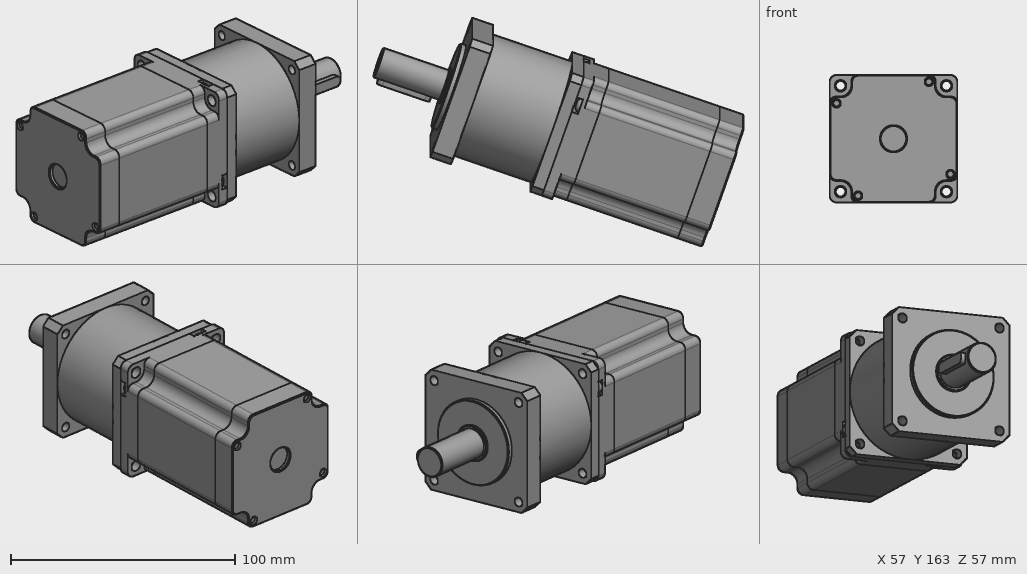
import cadquery as cq
import math


SIDE = 57.0
HALF = SIDE / 2
MOUNT_OFFSET = 23.6

LENGTH = 163.0
STATOR_BACK = 11.5
STATOR_FRONT = 64.0
MOTOR_FLANGE_BACK = 70.9
MOTOR_FRONT = 75.8
RING_BACK = 81.2
RING_FRONT = 118.7
OUTPUT_FLANGE_FRONT = 128.5
BOSS_FRONT = 131.0

FLANGE_CHAMFER = 3.3
BOSS_DIAMETER = 40.0
BOSS_CHAMFER = 0.5
GEARBOX_HOLE = 4.2

SHAFT_DIAMETER = 14.0
SHAFT_CHAMFER = 0.5
COLLAR_DIAMETER = 17.0
COLLAR_LENGTH = 1.0
COLLAR_CHAMFER = 0.5
KEY_WIDTH = 5.0
KEY_LENGTH = 25.1
KEY_TIP_GAP = 2.5
KEY_FLOOR = 4.0
KEY_TOP = 9.1

MOTOR_FLANGE_RADIUS = 3.3
MOTOR_HOLE = 5.2
NOTCH_WALL = 18.9
NOTCH_ROUND = 3.1
REAR_CHAMFER = 0.5
REAR_RECESS_DIAMETER = 11.2
REAR_RECESS_DEPTH = 2.0
REAR_RECESS_CHAMFER = 0.5

SCREW_X = NOTCH_WALL - NOTCH_ROUND
SCREW_Z = HALF - NOTCH_ROUND
SCREW_DIAMETER = 3.0
SCREW_CLEARANCE = 3.9
SCREW_TIP_DEPTH = 1.0
HEAD_DIAMETER = 6.0
HEAD_HEIGHT = 2.0
HEAD_ROUND = 1.8
HEAD_POCKET_WIDTH = 7.0
HEAD_POCKET_DEPTH = 3.0
HEAD_SEAT = MOTOR_FRONT - HEAD_POCKET_DEPTH

QUARTER_TURNS = (0, 90, 180, 270)


def plane_at(y):
    """Plane square to the shaft at the given Y, with its normal along +Y and local X along -X."""
    return cq.Workplane(cq.Plane(origin=(0, y, 0), xDir=(-1, 0, 0), normal=(0, 1, 0)))


def cylinder(diameter, y_start, y_end, x=0, z=0):
    return plane_at(y_start).center(-x, z).circle(diameter / 2).extrude(y_end - y_start)


def square_block(y_start, y_end):
    return plane_at(y_start).rect(SIDE, SIDE).extrude(y_end - y_start)


def turned(body, angle):
    return body.rotate((0, 0, 0), (0, 1, 0), angle)


def cut_around_axis(body, tool):
    """Cut the tool from the body at each quarter turn about the shaft axis."""
    for angle in QUARTER_TURNS:
        body = body.cut(turned(tool, angle))
    return body


def mounting_hole(diameter, y_start, y_end):
    return cylinder(diameter, y_start, y_end, x=MOUNT_OFFSET, z=MOUNT_OFFSET)


def make_gearbox():
    output_flange = square_block(RING_FRONT, OUTPUT_FLANGE_FRONT).edges("|Y").chamfer(FLANGE_CHAMFER)
    input_flange = square_block(MOTOR_FRONT, RING_BACK).edges("|Y").chamfer(FLANGE_CHAMFER)
    ring = cylinder(SIDE, RING_BACK, RING_FRONT)
    boss = cylinder(BOSS_DIAMETER, OUTPUT_FLANGE_FRONT, BOSS_FRONT).faces(">Y").chamfer(BOSS_CHAMFER)
    body = output_flange.union(ring).union(input_flange).union(boss)
    return cut_around_axis(body, mounting_hole(GEARBOX_HOLE, MOTOR_FRONT, OUTPUT_FLANGE_FRONT))


def make_key():
    key_center = LENGTH - KEY_TIP_GAP - KEY_LENGTH / 2
    return (
        cq.Workplane("YZ", origin=(KEY_FLOOR, key_center, 0))
        .slot2D(KEY_LENGTH, KEY_WIDTH)
        .extrude(KEY_TOP - KEY_FLOOR)
    )


def make_shaft(key):
    collar = cylinder(COLLAR_DIAMETER, BOSS_FRONT, BOSS_FRONT + COLLAR_LENGTH)
    collar = collar.faces(">Y").chamfer(COLLAR_CHAMFER)
    rod = cylinder(SHAFT_DIAMETER, BOSS_FRONT, LENGTH).faces(">Y").chamfer(SHAFT_CHAMFER)
    return rod.union(collar).cut(key)


def corner_notch(y_start, y_end):
    """Cutter for the +X +Z corner: a round hollow about the mounting hole that flares to both sides."""
    hollow = MOUNT_OFFSET - NOTCH_WALL
    hollow_mid = MOUNT_OFFSET - hollow * math.sqrt(0.5)
    near = NOTCH_WALL - NOTCH_ROUND
    flare = HALF - NOTCH_ROUND
    round_near = near + NOTCH_ROUND * math.sqrt(0.5)
    round_far = flare + NOTCH_ROUND * math.sqrt(0.5)
    outline = (
        cq.Workplane("XZ", origin=(0, y_end, 0))
        .moveTo(near, HALF)
        .threePointArc((round_near, round_far), (NOTCH_WALL, flare))
        .lineTo(NOTCH_WALL, MOUNT_OFFSET)
        .threePointArc((hollow_mid, hollow_mid), (MOUNT_OFFSET, NOTCH_WALL))
        .lineTo(flare, NOTCH_WALL)
        .threePointArc((round_far, round_near), (HALF, near))
        .lineTo(HALF, HALF)
        .close()
    )
    return outline.extrude(y_end - y_start)


def notched_block(y_start, y_end):
    return cut_around_axis(square_block(y_start, y_end), corner_notch(y_start, y_end))


def screw_clearance(y_start, y_end):
    return cylinder(SCREW_CLEARANCE, y_start, y_end, x=SCREW_X, z=SCREW_Z)


def screw_head_pocket():
    """Round-bottomed pocket that opens at the motor's front face and at the side next to the screw."""
    bottom = cylinder(HEAD_POCKET_WIDTH, HEAD_SEAT, MOTOR_FRONT, x=SCREW_X, z=SCREW_Z)
    mouth = (
        plane_at(HEAD_SEAT)
        .center(-SCREW_X, SCREW_Z + HEAD_POCKET_WIDTH / 2)
        .rect(HEAD_POCKET_WIDTH, HEAD_POCKET_WIDTH)
        .extrude(HEAD_POCKET_DEPTH)
    )
    return bottom.union(mouth)


def make_front_cap():
    flange = square_block(MOTOR_FLANGE_BACK, MOTOR_FRONT).edges("|Y").fillet(MOTOR_FLANGE_RADIUS)
    body = flange.union(notched_block(STATOR_FRONT, MOTOR_FLANGE_BACK))
    body = cut_around_axis(body, mounting_hole(MOTOR_HOLE, MOTOR_FLANGE_BACK, MOTOR_FRONT))
    body = cut_around_axis(body, screw_head_pocket())
    return cut_around_axis(body, screw_clearance(STATOR_FRONT, MOTOR_FRONT))


def make_stator():
    body = notched_block(STATOR_BACK, STATOR_FRONT)
    return cut_around_axis(body, screw_clearance(STATOR_BACK, STATOR_FRONT))


def rear_recess():
    """Shallow round recess whose mouth flares out in a chamfer."""
    flare = (
        plane_at(0)
        .circle(REAR_RECESS_DIAMETER / 2 + REAR_RECESS_CHAMFER)
        .extrude(REAR_RECESS_CHAMFER, taper=45)
    )
    return cylinder(REAR_RECESS_DIAMETER, 0, REAR_RECESS_DEPTH).union(flare)


def make_rear_cap():
    body = notched_block(0, STATOR_BACK).faces("<Y").chamfer(REAR_CHAMFER)
    body = body.cut(rear_recess())
    return cut_around_axis(body, screw_clearance(0, STATOR_BACK))


def make_screw():
    shank = cylinder(SCREW_DIAMETER, SCREW_TIP_DEPTH, HEAD_SEAT, x=SCREW_X, z=SCREW_Z)
    head = cylinder(HEAD_DIAMETER, HEAD_SEAT, HEAD_SEAT + HEAD_HEIGHT, x=SCREW_X, z=SCREW_Z)
    return shank.union(head.faces(">Y").fillet(HEAD_ROUND))


gearbox = make_gearbox()
key = make_key()
shaft = make_shaft(key)
front_cap = make_front_cap()
stator = make_stator()
rear_cap = make_rear_cap()
screws = [turned(make_screw(), angle) for angle in QUARTER_TURNS]

result = cq.Compound.makeCompound(
    [
        gearbox.val(),
        shaft.val(),
        key.val(),
        front_cap.val(),
        stator.val(),
        rear_cap.val(),
        *[screw.val() for screw in screws],
    ]
)